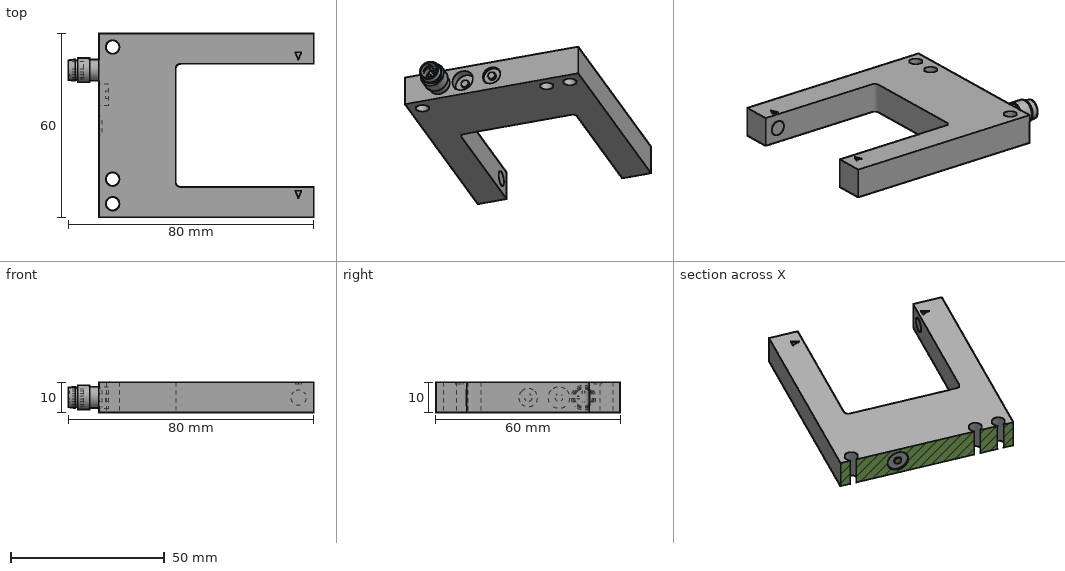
import cadquery as cq

overall_length = 80.0
body_width = 60.0
body_thickness = 10.0
plug_length = 10.0
body_length = overall_length - plug_length
mid_height = body_thickness / 2

arm_width = 10.0
opening_depth = 45.0
opening_width = body_width - 2 * arm_width
opening_corner_radius = 1.5

mount_hole_diameter = 4.3
mount_hole_inset = 4.5
mount_hole_pitch = 8.0

plug_inset = 12.0
plug_y = body_width - plug_inset
tip_diameter = 6.5
snap_diameter = 7.0
snap_length = 2.2
collar_diameter = 8.0
collar_start = 3.0
collar_length = 3.9
stem_diameter = 7.0
socket_diameter = 5.8
socket_depth = 5.0
pin_diameter = 1.0
pin_length = 4.6
pin_offset = 1.8

stud_diameter = 2.5
plug_to_adjuster = 8.0
adjuster_y = plug_y - plug_to_adjuster
adjuster_diameter = 7.0
adjuster_depth = 3.0
adjuster_stud_height = 1.0
adjuster_to_indicator = 10.0
indicator_y = adjuster_y - adjuster_to_indicator
indicator_diameter = 6.0
indicator_depth = 1.0
indicator_stud_height = 1.0

beam_inset = 5.0
beam_x = overall_length - beam_inset
window_diameter = 5.0
window_depth = 0.1
arrow_depth = 0.5
arrow_width = 2.0
arrow_length = 2.5
arrow_base_offset = 1.3
arrow_pitch = 45.1


def x_cylinder(start_x, y, z, diameter, length):
    """Cylinder along +X, beginning at start_x."""
    plane = cq.Workplane("YZ", origin=(start_x, y, z))
    return plane.circle(diameter / 2).extrude(length)


def make_fork():
    fork = cq.Workplane("XY").box(body_length, body_width, body_thickness, centered=False)
    fork = fork.translate((plug_length, 0, 0))
    opening = (
        cq.Workplane("XY")
        .box(opening_depth, opening_width, body_thickness, centered=False)
        .translate((overall_length - opening_depth, arm_width, 0))
        .edges("|Z and <X")
        .fillet(opening_corner_radius)
    )
    return fork.cut(opening)


def make_mount_holes():
    hole_x = plug_length + mount_hole_inset
    hole_ys = (mount_hole_inset, mount_hole_inset + mount_hole_pitch, body_width - mount_hole_inset)
    return (
        cq.Workplane("XY")
        .pushPoints([(hole_x, hole_y) for hole_y in hole_ys])
        .circle(mount_hole_diameter / 2)
        .extrude(body_thickness)
    )


def make_plug():
    """Revolved body: flared snap tip, neck, collar and stem, with a blind socket and pins."""
    collar_end = collar_start + collar_length
    profile = [
        (0, 0),
        (0, tip_diameter / 2),
        (snap_length, snap_diameter / 2),
        (snap_length, tip_diameter / 2),
        (collar_start, tip_diameter / 2),
        (collar_start, collar_diameter / 2),
        (collar_end, collar_diameter / 2),
        (collar_end, stem_diameter / 2),
        (plug_length, stem_diameter / 2),
        (plug_length, 0),
    ]
    plug = cq.Workplane("XY").polyline(profile).close().revolve(360, (0, 0, 0), (1, 0, 0))
    plug = plug.translate((0, plug_y, mid_height))
    plug = plug.cut(x_cylinder(0, plug_y, mid_height, socket_diameter, socket_depth))
    pin_start = socket_depth - pin_length
    for offset_y, offset_z in ((0, pin_offset), (0, -pin_offset), (-pin_offset, 0)):
        pin = x_cylinder(pin_start, plug_y + offset_y, mid_height + offset_z, pin_diameter, pin_length)
        plug = plug.union(pin)
    return plug


def make_control_recess(y, diameter, depth, stud_height):
    """Material to remove for a round recess that leaves a stud on its floor."""
    recess = x_cylinder(plug_length, y, mid_height, diameter, depth)
    stud = x_cylinder(plug_length + depth - stud_height, y, mid_height, stud_diameter, stud_height)
    return recess.cut(stud)


def make_windows():
    """One cylinder across the opening that marks both facing arm sides."""
    plane = cq.Workplane("XZ", origin=(beam_x, arm_width - window_depth, mid_height))
    return plane.circle(window_diameter / 2).extrude(-(opening_width + 2 * window_depth))


def make_arrow(base_y):
    """Triangle pointing to -Y, engraved in the top face."""
    plane = cq.Workplane("XY", origin=(beam_x, base_y, body_thickness))
    corners = [(-arrow_width / 2, 0), (arrow_width / 2, 0), (0, -arrow_length)]
    return plane.polyline(corners).close().extrude(-arrow_depth)


result = make_fork().cut(make_mount_holes()).union(make_plug())
result = result.cut(
    make_control_recess(adjuster_y, adjuster_diameter, adjuster_depth, adjuster_stud_height)
)
result = result.cut(
    make_control_recess(indicator_y, indicator_diameter, indicator_depth, indicator_stud_height)
)
result = result.cut(make_windows())
near_arrow_y = arm_width - arrow_base_offset
for arrow_y in (near_arrow_y, near_arrow_y + arrow_pitch):
    result = result.cut(make_arrow(arrow_y))